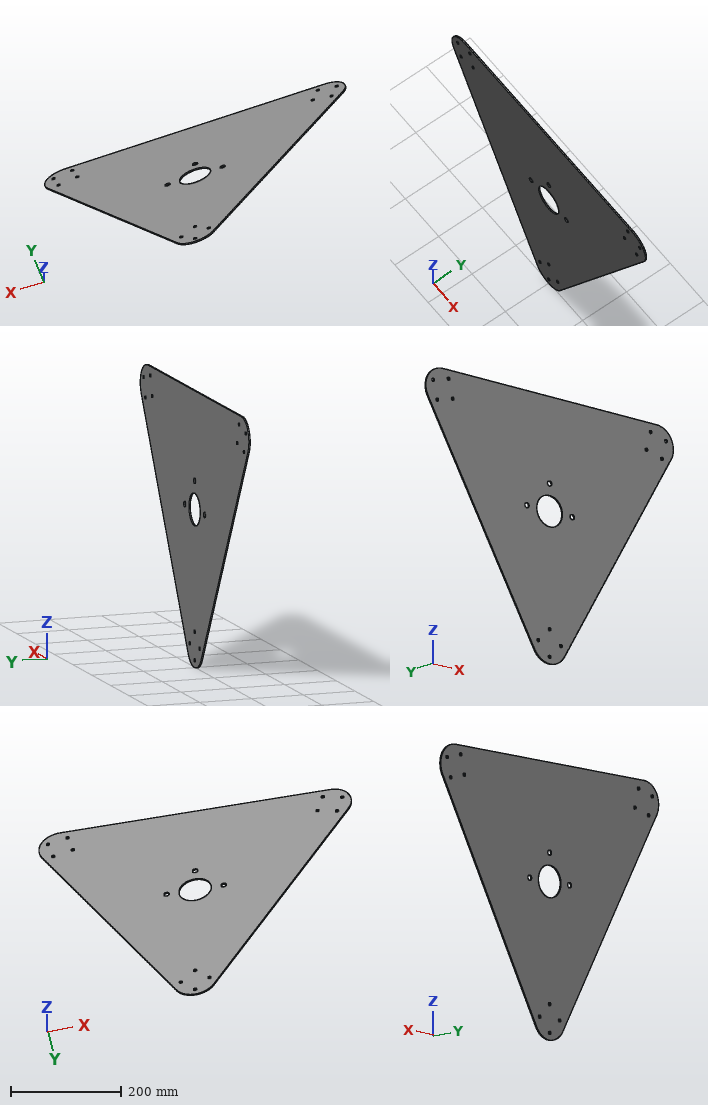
import cadquery as cq
import math

thickness = 3.0
corner_spacing = 500.0
corner_radius = 40.0

bore_diameter = 60.0
bore_drop = 180.0
mount_circle_radius = 53.0
mount_hole_diameter = 10.0
mount_hole_angles = (0, 90, 180)

corner_hole_spacing = 37.5
corner_hole_diameter = 6.0
corner_hole_count = 4
corner_hole_circle_radius = corner_hole_spacing / math.sqrt(2)

triangle_height = corner_spacing * math.sqrt(3) / 2
upper_z = bore_drop
lower_z = upper_z - triangle_height

corners = (
    ((-corner_spacing / 2, upper_z), 150),
    ((corner_spacing / 2, upper_z), 30),
    ((0, lower_z), 270),
)


def polar(center, radius, angle):
    """Point at a radius and an angle in degrees from a centre."""
    radians = math.radians(angle)
    return (center[0] + radius * math.cos(radians), center[1] + radius * math.sin(radians))


def plate_plane():
    """XZ workplane with local Y along +Z, on the mid-plane of the plate."""
    return cq.Workplane("XZ")


def make_plate():
    """Triangle of corner centres grown outward by the corner radius."""
    corner_centers = [center for center, _ in corners]
    outline = plate_plane().polyline(corner_centers).close().offset2D(corner_radius, "arc")
    return outline.extrude(thickness / 2, both=True)


def hole_cutter(points, diameter):
    """Cylinders through the full thickness at the given points."""
    return plate_plane().pushPoints(points).circle(diameter / 2).extrude(thickness, both=True)


def corner_hole_points(center, outward_angle):
    """Evenly spaced holes about a corner centre, the first on its outward direction."""
    step = 360 / corner_hole_count
    return [
        polar(center, corner_hole_circle_radius, outward_angle + index * step)
        for index in range(corner_hole_count)
    ]


bore_center = (0, 0)
mount_points = [polar(bore_center, mount_circle_radius, angle) for angle in mount_hole_angles]

result = make_plate()
result = result.cut(hole_cutter([bore_center], bore_diameter))
result = result.cut(hole_cutter(mount_points, mount_hole_diameter))
for corner_center, outward_angle in corners:
    points = corner_hole_points(corner_center, outward_angle)
    result = result.cut(hole_cutter(points, corner_hole_diameter))